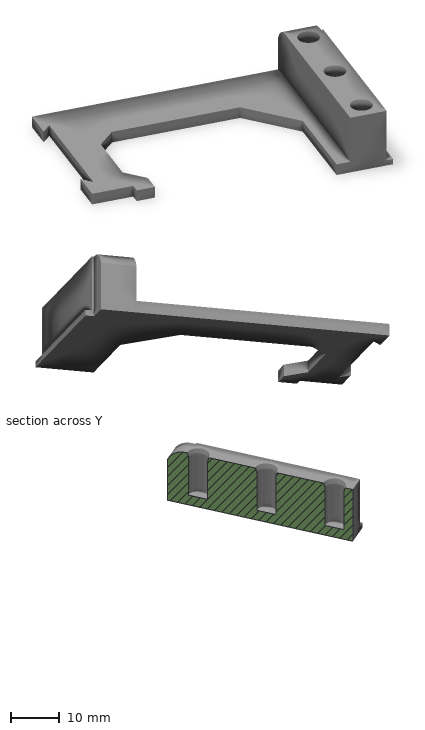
import cadquery as cq
import math

length_x = 40.9
length_y = 63.4
height = 12.86

plate_thickness = 2.5
spine_width = 11.8
upper_arm_width = 12.4
upper_arm_brace = 9.9
lower_arm_length = 34.2
lower_arm_width = 9.0
lower_arm_brace = 4.0
hook_overhang = 2.0
hook_top_width = 4.0

dovetail_left = 6.7
dovetail_right = 27.7
dovetail_depth = 2.0

bar_front_y = length_y - 9.4
lip_depth = 1.4
lip_height = 1.22
corner_notch_x = 4.9
corner_notch_y = 1.85

round_radius = 4.33
round_start_x = 4.08
round_drop = 2.47
round_flat_drop = 2.87

hole_count = 3
hole_pitch = 15.0
first_hole_x = 6.8
hole_y = length_y - 5.36
hole_diameter = 4.1
mouth_diameter = 4.7
mouth_depth = 1.0
hole_depth = height - plate_thickness


def make_plate():
    inner_top_y = length_y - upper_arm_width
    hook_tip_x = lower_arm_length + hook_overhang
    hook_inner_x = hook_tip_x - hook_top_width
    hook_top_y = lower_arm_width + lower_arm_brace
    outline = [
        (0, 0),
        (dovetail_left, 0),
        (dovetail_left - dovetail_depth, dovetail_depth),
        (dovetail_right + dovetail_depth, dovetail_depth),
        (dovetail_right, 0),
        (lower_arm_length, 0),
        (lower_arm_length, lower_arm_width),
        (hook_tip_x, lower_arm_width),
        (hook_tip_x, hook_top_y),
        (hook_inner_x, hook_top_y),
        (hook_inner_x - lower_arm_brace, lower_arm_width),
        (spine_width + lower_arm_brace, lower_arm_width),
        (spine_width, hook_top_y),
        (spine_width, inner_top_y - upper_arm_brace),
        (spine_width + upper_arm_brace, inner_top_y),
        (length_x, inner_top_y),
        (length_x, bar_front_y),
        (0, bar_front_y),
    ]
    return cq.Workplane("XY").polyline(outline).close().extrude(plate_thickness)


def round_point(drop):
    """Point of the corner arc at a given depth below the top face."""
    rise = round_radius - drop
    return round_start_x - math.sqrt(round_radius**2 - rise**2), height - drop


def make_bar():
    bar_back_y = length_y - lip_depth
    bar = (
        cq.Workplane("XZ", origin=(0, bar_back_y, 0))
        .lineTo(length_x, 0)
        .lineTo(length_x, height)
        .lineTo(round_start_x, height)
        .threePointArc(round_point(round_drop / 3), round_point(round_drop))
        .lineTo(0, height - round_flat_drop)
        .close()
        .extrude(bar_back_y - bar_front_y)
    )
    lip = cq.Workplane("XY").box(length_x, length_y - bar_front_y, lip_height, centered=False)
    return bar.union(lip.translate((0, bar_front_y, 0)))


def make_corner_notch():
    notch = cq.Workplane("XY").box(corner_notch_x, corner_notch_y, height, centered=False)
    return notch.translate((0, length_y - corner_notch_y, 0))


def make_holes():
    centers = [(first_hole_x + i * hole_pitch, hole_y) for i in range(hole_count)]
    top = cq.Workplane("XY").workplane(offset=height).pushPoints(centers)
    bores = top.circle(hole_diameter / 2).extrude(-hole_depth)
    taper = math.degrees(math.atan2((mouth_diameter - hole_diameter) / 2, mouth_depth))
    mouths = top.circle(mouth_diameter / 2).extrude(-mouth_depth, taper=taper)
    return bores.union(mouths)


result = make_plate().union(make_bar()).cut(make_corner_notch()).cut(make_holes())